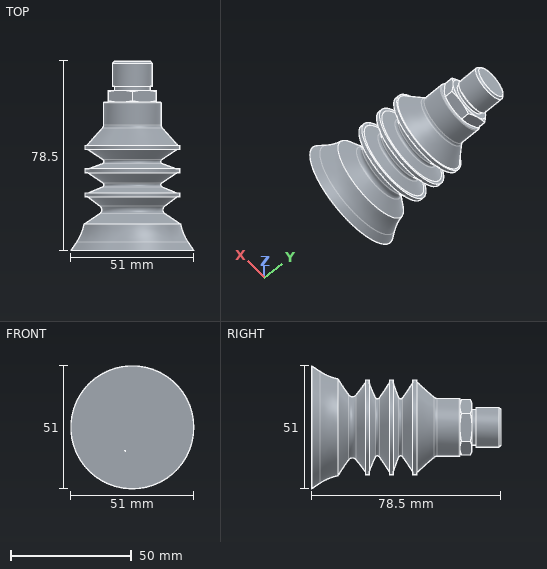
import cadquery as cq
import math


cup_radius = 25.5
lip_radius = 23.15
lip_height = 3.5
shoulder_radius = 20.1
shoulder_y = 10.9

rim_radius = 39.3 / 2
rim_thickness = 1.7
lower_rim_y = 22.2
middle_rim_y = 32.2
upper_rim_y = 41.85
fold_radius = 18.2
underside_radius = 18.5
upper_cone_radius = 18.9

cup_waist_radius = 12.7
cup_waist_y = 16.9
cup_waist_round = 1.9
fold_waist_radius = 11.85
fold_waist_drop = 4.95
fold_waist_round = 0.95

body_radius = 24.0 / 2
body_start_y = 52.0
body_round = 1.8
body_top_round = 0.4
body_top_y = 61.5
hex_across_flats = 20.0
hex_top_y = 66.4
hex_bevel = 0.6
neck_radius = 14.9 / 2
thread_radius = 16.65 / 2
thread_start_y = 68.05
total_length = 78.5
thread_bevel = 0.95


def tangent_point(point, center, round_radius, side):
    """Point where a line from `point` touches the circle; `side` is +1 above, -1 below its centre."""
    dx = point[0] - center[0]
    dy = point[1] - center[1]
    swing = math.acos(round_radius / math.hypot(dx, dy))
    angle = math.atan2(dy, dx) + side * swing
    return center[0] + round_radius * math.cos(angle), center[1] + round_radius * math.sin(angle)


def add_waist(profile, below, above, waist_radius, waist_y, round_radius):
    """Cone in from `below`, round the waist and cone out to `above`."""
    center = (waist_radius + round_radius, waist_y)
    start = tangent_point(below, center, round_radius, -1)
    end = tangent_point(above, center, round_radius, 1)
    return (
        profile.lineTo(*start)
        .threePointArc((waist_radius, waist_y), end)
        .lineTo(*above)
    )


def add_rim(profile, underside_y, cone_radius):
    """Flat-edged rim, ending where the cone above it starts."""
    return (
        profile.lineTo(rim_radius, underside_y)
        .lineTo(rim_radius, underside_y + rim_thickness)
        .lineTo(cone_radius, underside_y + rim_thickness)
    )


def make_bellows():
    profile = (
        cq.Workplane("XY")
        .moveTo(0, 0)
        .lineTo(cup_radius, 0)
        .lineTo(lip_radius, lip_height)
        .tangentArcPoint((shoulder_radius, shoulder_y), relative=False)
    )
    profile = add_waist(
        profile, (shoulder_radius, shoulder_y), (underside_radius, lower_rim_y),
        cup_waist_radius, cup_waist_y, cup_waist_round,
    )
    for rim_y, next_rim_y in ((lower_rim_y, middle_rim_y), (middle_rim_y, upper_rim_y)):
        profile = add_rim(profile, rim_y, fold_radius)
        profile = add_waist(
            profile, (fold_radius, rim_y + rim_thickness), (underside_radius, next_rim_y),
            fold_waist_radius, next_rim_y - fold_waist_drop, fold_waist_round,
        )
    profile = add_rim(profile, upper_rim_y, upper_cone_radius)
    round_center = (body_radius + body_round, body_start_y)
    cone_end = tangent_point(
        (upper_cone_radius, upper_rim_y + rim_thickness), round_center, body_round, -1
    )
    profile = (
        profile.lineTo(*cone_end)
        .tangentArcPoint((body_radius, body_start_y), relative=False)
        .lineTo(body_radius, body_top_y - body_top_round)
        .tangentArcPoint((body_radius - body_top_round, body_top_y), relative=False)
        .lineTo(0, body_top_y)
        .close()
    )
    return profile.revolve(360, (0, 0, 0), (0, 1, 0))


def make_hexagon():
    corner_radius = hex_across_flats / math.sqrt(3)
    flat_radius = hex_across_flats / 2
    prism = (
        cq.Workplane("XZ", origin=(0, body_top_y, 0))
        .polygon(6, 2 * corner_radius)
        .extrude(body_top_y - hex_top_y)
        .rotate((0, 0, 0), (0, 1, 0), 30)
    )
    bevel_cutter = (
        cq.Workplane("XY")
        .moveTo(0, body_top_y)
        .lineTo(flat_radius, body_top_y)
        .lineTo(corner_radius, body_top_y + hex_bevel)
        .lineTo(corner_radius, hex_top_y - hex_bevel)
        .lineTo(flat_radius, hex_top_y)
        .lineTo(0, hex_top_y)
        .close()
        .revolve(360, (0, 0, 0), (0, 1, 0))
    )
    return prism.intersect(bevel_cutter)


def make_stem():
    return (
        cq.Workplane("XY")
        .moveTo(0, hex_top_y)
        .lineTo(neck_radius, hex_top_y)
        .lineTo(neck_radius, thread_start_y)
        .lineTo(thread_radius, thread_start_y)
        .lineTo(thread_radius, total_length - thread_bevel)
        .lineTo(neck_radius, total_length)
        .lineTo(0, total_length)
        .close()
        .revolve(360, (0, 0, 0), (0, 1, 0))
    )


result = make_bellows().union(make_hexagon()).union(make_stem())